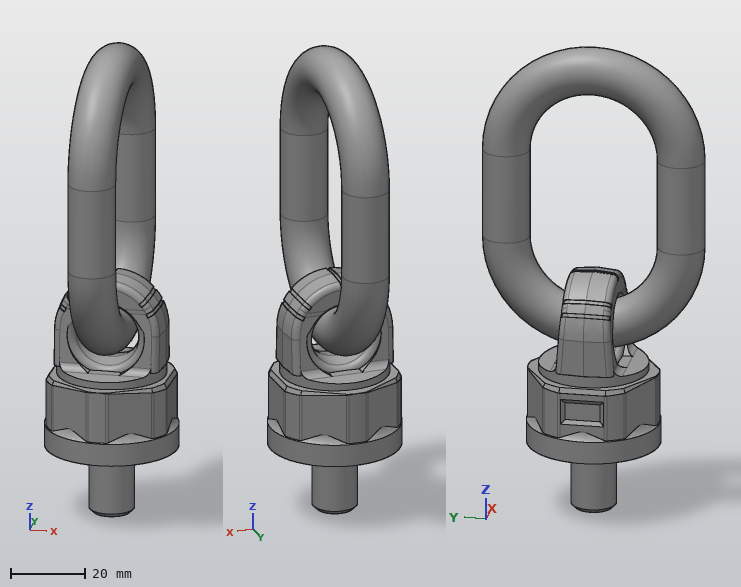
import cadquery as cq
import math

STUD_RADIUS = 6.2
STUD_TIP_CHAMFER = 1.2
FLANGE_BOTTOM = 19.0
FLANGE_TOP = 25.2
BASE_RADIUS = 18.2

HEX_APOTHEM = 16.8
HEX_CORNER_RADIUS = 18.0
HEX_EDGE_FILLET = 2.0
HEX_TOP = 39.7
HEX_SKIRT_HEIGHT = 2.4
HEX_SKIRT_HOLLOW = 0.4
HEX_TOP_SLOPE = 4.8
HEX_BEVEL_ANGLE = 30.0

POCKET_WIDTH = 11.9
POCKET_HEIGHT = 7.1
POCKET_DEPTH = 0.8
POCKET_DRAFT = 55.0
POCKET_Z = 33.0

EYE_RADIUS = 15.0
EYE_CENTRE_Z = 53.0
EYE_DRAFT = 5.0
EYE_EDGE_FILLET = 1.8
LUG_FOOT_Z = 42.9
LUG_TOP_HALF_THICKNESS = 6.7
LUG_TAPER_START_Z = 59.7
LUG_TAPER_BLEND = 0.5
LUG_BOTTOM_HALF_THICKNESS = 7.8
LUG_FILLET_TOP_Z = 45.4
DISC_RADIUS = 14.9
DISC_CREST_Y = 9.9
DISC_CREST_Z = 42.3
DISC_RIM_Z = 41.7

HOLE_CENTRE_Z = 52.0
HOLE_THROAT_RADIUS = 7.9
HOLE_DRAFTED_RADIUS = 8.7
HOLE_MOUTH_RADIUS = 10.7
HOLE_MOUTH_START_Y = 5.1
HOLE_MOUTH_END_Y = 7.1

MARK_ANGLES = (27.0, 42.0, 90.0, 138.0, 153.0)
MARK_WIDTH = 1.0
MARK_DEPTH = 0.3
MARK_REACH = 4.8

RING_WIRE_RADIUS = 6.5
RING_WIDTH = 61.0
RING_TOP = 132.0
RING_STRAIGHT = 25.0

ring_bend_radius = RING_WIDTH / 2 - RING_WIRE_RADIUS
hex_top_height = HEX_TOP - FLANGE_TOP
clearance_length = 2 * BASE_RADIUS


def hexagon_outline(plane):
    """Hexagon with flats facing +-X, its corners rounded by a circle about the axis."""
    half_flat_angle = math.acos(HEX_APOTHEM / HEX_CORNER_RADIUS)

    def on_circle(angle):
        return (HEX_CORNER_RADIUS * math.cos(angle), HEX_CORNER_RADIUS * math.sin(angle))

    outline = plane.moveTo(*on_circle(-half_flat_angle))
    for flat in range(6):
        middle = math.radians(60 * flat)
        corner = middle + math.radians(30)
        next_flat_start = middle + math.radians(60) - half_flat_angle
        outline = outline.lineTo(*on_circle(middle + half_flat_angle))
        outline = outline.threePointArc(on_circle(corner), on_circle(next_flat_start))
    return outline.close()


def top_bevel_cutter(side):
    """Bevel tool for one half of the hexagon (side = 1 for +X, -1 for -X).

    The bevel starts from a plane that slopes down away from the Y axis, so it
    fades out at the +-Y corners and is deepest on the flat at +-X.
    """
    slope = math.radians(HEX_TOP_SLOPE) * side
    sloped_plane = cq.Plane(
        origin=(0, 0, HEX_TOP),
        xDir=(math.cos(slope), 0, -math.sin(slope)),
        normal=(math.sin(slope), 0, math.cos(slope)),
    )
    tool_height = 4.0
    tool_side = 2 * clearance_length
    surround = cq.Workplane(sloped_plane).rect(tool_side, tool_side).extrude(tool_height)
    kept = hexagon_outline(cq.Workplane(sloped_plane)).extrude(tool_height, taper=HEX_BEVEL_ANGLE)
    half_space = cq.Workplane("XY").box(clearance_length, tool_side, 2 * HEX_TOP)
    half_space = half_space.translate((side * clearance_length / 2, 0, HEX_TOP))
    return surround.cut(kept).intersect(half_space)


def label_pocket():
    """Shallow rectangular pocket with sloping walls in the -X flat."""
    flat_plane = cq.Plane(origin=(-HEX_APOTHEM, 0, POCKET_Z), xDir=(0, 1, 0), normal=(1, 0, 0))
    mouth = cq.Workplane(flat_plane).rect(POCKET_WIDTH, POCKET_HEIGHT)
    return mouth.extrude(POCKET_DEPTH, taper=POCKET_DRAFT)


def make_base():
    """Hexagonal base with its round flange and the stud below it."""
    hexagon = hexagon_outline(cq.Workplane("XY").workplane(offset=FLANGE_TOP)).extrude(hex_top_height)
    hexagon = hexagon.edges("|Z").fillet(HEX_EDGE_FILLET)
    for side in (-1, 1):
        hexagon = hexagon.cut(top_bevel_cutter(side))
    hexagon = hexagon.cut(label_pocket())

    stud_tip_radius = STUD_RADIUS - STUD_TIP_CHAMFER
    skirt_top = FLANGE_TOP + HEX_SKIRT_HEIGHT
    skirt_middle = (
        HEX_APOTHEM + HEX_SKIRT_HOLLOW * (BASE_RADIUS - HEX_APOTHEM),
        FLANGE_TOP + HEX_SKIRT_HOLLOW * HEX_SKIRT_HEIGHT,
    )
    turned = (
        cq.Workplane("XZ")
        .lineTo(stud_tip_radius, 0)
        .lineTo(STUD_RADIUS, STUD_TIP_CHAMFER)
        .lineTo(STUD_RADIUS, FLANGE_BOTTOM)
        .lineTo(BASE_RADIUS, FLANGE_BOTTOM)
        .lineTo(BASE_RADIUS, FLANGE_TOP)
        .threePointArc(skirt_middle, (HEX_APOTHEM, skirt_top))
        .lineTo(0, skirt_top)
        .close()
        .revolve(360, (0, 0), (0, 1))
    )
    return hexagon.union(turned)


def lug_outline_half(radius):
    """Arched lug outline, drafted from the parting plane Y = 0 toward -Y."""
    plane = cq.Plane(origin=(0, 0, 0), xDir=(1, 0, 0), normal=(0, -1, 0))
    return (
        cq.Workplane(plane)
        .moveTo(-radius, HEX_TOP)
        .lineTo(radius, HEX_TOP)
        .lineTo(radius, EYE_CENTRE_Z)
        .threePointArc((0, EYE_CENTRE_Z + radius), (-radius, EYE_CENTRE_Z))
        .close()
        .extrude(BASE_RADIUS, taper=EYE_DRAFT)
    )


def symmetric_bar(half_profile):
    """Bar along X from the +Y half of its section, mirrored about Y = 0."""
    half = half_profile.close().extrude(2 * BASE_RADIUS)
    return half.union(half.mirror("XZ"))


def rounded_edges(lug):
    """Edges where the lug's two flanks meet its arch and straight sides."""
    flank_start = LUG_TOP_HALF_THICKNESS - 2 * MARK_DEPTH
    return [
        edge
        for edge in lug.edges("not |X").vals()
        if abs(edge.Center().y) > flank_start and edge.Center().z > LUG_FOOT_Z
    ]


def make_lug(inset=0.0):
    """Arched lug whose sides thicken toward the foot, with rounded outer edges.

    An inset makes the same shape smaller by that distance on its sides and arch.
    """
    radius = EYE_RADIUS - inset
    top = EYE_CENTRE_Z + EYE_RADIUS + 1.3
    taper_height = LUG_TAPER_START_Z - LUG_FILLET_TOP_Z
    thickness_slope = (LUG_BOTTOM_HALF_THICKNESS - LUG_TOP_HALF_THICKNESS) / taper_height
    foot_half_thickness = LUG_BOTTOM_HALF_THICKNESS + thickness_slope * (LUG_FILLET_TOP_Z - LUG_FOOT_Z)
    taper_angle = math.atan(thickness_slope)
    top_half_thickness = LUG_TOP_HALF_THICKNESS - inset
    blend_start = (
        top_half_thickness + LUG_TAPER_BLEND * math.sin(taper_angle),
        LUG_TAPER_START_Z - LUG_TAPER_BLEND * math.cos(taper_angle),
    )
    blend_end = (top_half_thickness, LUG_TAPER_START_Z + LUG_TAPER_BLEND)
    thickness = symmetric_bar(
        cq.Workplane("YZ", origin=(-BASE_RADIUS, 0, 0))
        .moveTo(0, LUG_FOOT_Z)
        .lineTo(foot_half_thickness - inset, LUG_FOOT_Z)
        .lineTo(*blend_start)
        .tangentArcPoint(blend_end, relative=False)
        .lineTo(top_half_thickness, top)
        .lineTo(0, top)
    )
    half_outline = lug_outline_half(radius)
    lug = half_outline.union(half_outline.mirror("XZ")).intersect(thickness)
    return lug.newObject(rounded_edges(lug)).fillet(EYE_EDGE_FILLET)


def make_disc():
    """Round disc with sloping shoulders and the filleted foot that carries the lug."""
    fillet_width = DISC_CREST_Y - LUG_BOTTOM_HALF_THICKNESS
    fillet_height = LUG_FILLET_TOP_Z - DISC_CREST_Z
    fillet_middle = (
        DISC_CREST_Y - fillet_width * math.sin(math.radians(45)),
        LUG_FILLET_TOP_Z - fillet_height * math.sin(math.radians(45)),
    )
    crown = symmetric_bar(
        cq.Workplane("YZ", origin=(-BASE_RADIUS, 0, 0))
        .moveTo(0, HEX_TOP)
        .lineTo(DISC_RADIUS, HEX_TOP)
        .lineTo(DISC_RADIUS, DISC_RIM_Z)
        .lineTo(DISC_CREST_Y, DISC_CREST_Z)
        .threePointArc(fillet_middle, (LUG_BOTTOM_HALF_THICKNESS, LUG_FILLET_TOP_Z))
        .lineTo(0, LUG_FILLET_TOP_Z)
    )
    disc_circle = cq.Workplane("XY", origin=(0, 0, HEX_TOP)).circle(DISC_RADIUS)
    return crown.intersect(disc_circle.extrude(LUG_FILLET_TOP_Z - HEX_TOP))


def eye_hole():
    """Drafted hole along Y with flared mouths, kept above the crest of the disc."""
    mouth_rise = HOLE_MOUTH_RADIUS - HOLE_DRAFTED_RADIUS
    mouth_length = HOLE_MOUTH_END_Y - HOLE_MOUTH_START_Y
    mouth_arc_middle = (
        HOLE_MOUTH_RADIUS - mouth_rise * math.sin(math.radians(45)),
        HOLE_MOUTH_START_Y + mouth_length * math.sin(math.radians(45)),
    )
    half = (
        cq.Workplane("XY")
        .lineTo(HOLE_THROAT_RADIUS, 0)
        .lineTo(HOLE_DRAFTED_RADIUS, HOLE_MOUTH_START_Y)
        .threePointArc(mouth_arc_middle, (HOLE_MOUTH_RADIUS, HOLE_MOUTH_END_Y))
        .lineTo(HOLE_MOUTH_RADIUS, BASE_RADIUS)
        .lineTo(0, BASE_RADIUS)
        .close()
        .revolve(360, (0, 0), (0, 1))
    )
    hole = half.union(half.mirror("XZ")).translate((0, 0, HOLE_CENTRE_Z))
    crest_plane = cq.Workplane("XY", origin=(0, 0, DISC_CREST_Z))
    above_disc = crest_plane.rect(clearance_length, 2 * clearance_length).extrude(clearance_length)
    return hole.intersect(above_disc)


def wear_mark(angle):
    """Slab across the lug's rim at an angle above the horizontal."""
    slab = cq.Workplane("XY").box(MARK_REACH, clearance_length, MARK_WIDTH)
    slab = slab.translate((EYE_RADIUS, 0, 0)).rotate((0, 0, 0), (0, 1, 0), -angle)
    return slab.translate((0, 0, EYE_CENTRE_Z))


def make_eye():
    """Swivelling eye: an arched lug on a round disc, with grooves wrapping over its rim."""
    lug = make_lug()
    lug_core = make_lug(MARK_DEPTH)
    for angle in MARK_ANGLES:
        lug = lug.cut(wear_mark(angle).cut(lug_core))
    return make_disc().union(lug).cut(eye_hole())


def make_ring():
    """Oblong lifting ring of round wire, standing in the YZ plane."""
    upper_z = RING_TOP - RING_WIDTH / 2
    lower_z = upper_z - RING_STRAIGHT
    path = (
        cq.Workplane("YZ")
        .moveTo(ring_bend_radius, lower_z)
        .lineTo(ring_bend_radius, upper_z)
        .threePointArc((0, upper_z + ring_bend_radius), (-ring_bend_radius, upper_z))
        .lineTo(-ring_bend_radius, lower_z)
        .threePointArc((0, lower_z - ring_bend_radius), (ring_bend_radius, lower_z))
        .close()
    )
    section = cq.Workplane("XY", origin=(0, ring_bend_radius, lower_z)).circle(RING_WIRE_RADIUS)
    return section.sweep(path)


base = make_base()
eye = make_eye()
ring = make_ring()

result = cq.Compound.makeCompound([base.solids().val(), eye.solids().val(), ring.solids().val()])